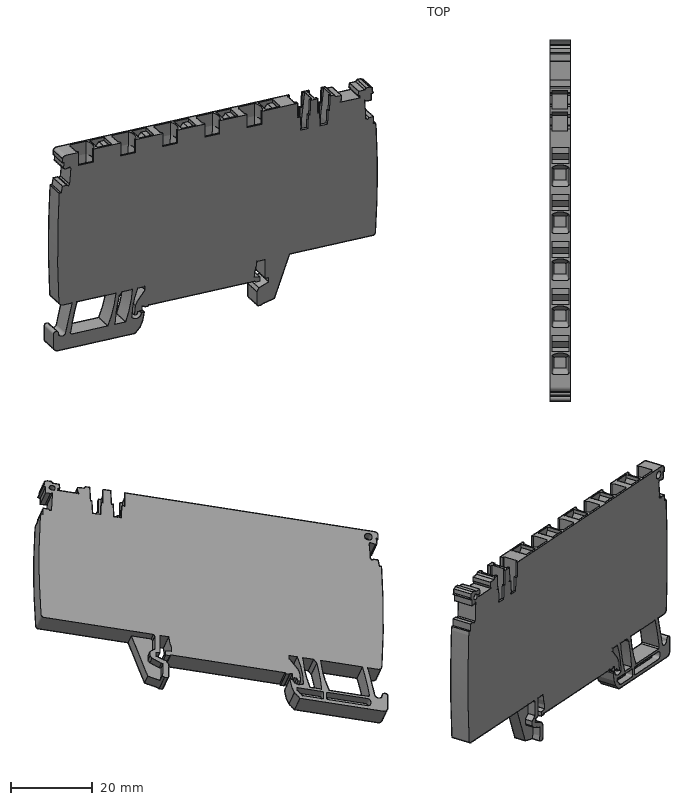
import cadquery as cq

WIDTH = 5.1
LENGTH = 88.4
HEIGHT = 53.1

LEFT_FACE = -WIDTH / 2
RIGHT_FACE = WIDTH / 2
FRONT_END = -LENGTH / 2
BACK_END = LENGTH / 2
TOP = HEIGHT / 2
BOTTOM = -HEIGHT / 2

BODY_BOTTOM = -14.3
BODY_FRONT_FOOT = -42.7
BODY_FRONT_CORNER = 1.1
BODY_BACK_FOOT = 43.65
BODY_BACK_CORNER = 0.7
RAIL_SEAT = -19.6
RAIL_LIP = -19.9
BAR_TOP = -22.8
BAR_CORNER = 1.2
GRIP_TOP = -21.1
GRIP_ROUND = 0.7

SLOT_FLOOR = 19.0
SLOT_STEP = 22.6
SLOT_DRAFT = 0.2
WIRE_SLOTS = [
    ((31.3, 27.9, 30.75, 28.4), (31.8, 27.3)),
    ((26.0, 22.4, 25.4, 23.15), (26.6, 21.9)),
]
CHAMBER_LEFT = -2.0
CHAMBER_RIGHT = 1.8
CHAMBER_TAPER = 0.9
CHAMBER_FLOOR = 16.35

TERMINAL_COUNT = 5
TERMINAL_PITCH = 11.5
FIRST_TERMINAL = 17.85
TERMINAL_LEFT = -2.0
TERMINAL_RIGHT = 2.1

POCKET_LENGTH = 3.9
POCKET_LEDGE = 1.4
POCKET_LEDGE_DEPTH = 0.9
POCKET_GROOVE_DEPTH = 2.65
POCKET_GROOVE_RUN = 1.5

FUNNEL_OFFSET = 4.2
FUNNEL_LENGTH = 5.3
FUNNEL_DEPTH = 6.2
FUNNEL_ARCH = 0.6
FUNNEL_MOUTH_DEPTH = 3.5
FUNNEL_MOUTH_CORNER = 0.6
FUNNEL_LIP = 0.35
FUNNEL_FLOOR_LEFT = -1.5
FUNNEL_FLOOR_RIGHT = 1.4
FUNNEL_FLOOR_INSET = 1.0
FUNNEL_FLOOR_LENGTH = 2.7
FUNNEL_FLOOR_ARCH = 0.1
FUNNEL_FLOOR_CORNER = 0.2

RECESS_DEPTH = 2.2
BACK_HOLE = (40.8, 24.65)
BACK_HOLE_RADIUS = 0.7
FRONT_HOLE = (-39.2, 24.7)
FRONT_HOLE_RADIUS = 1.0
BAR_RECESS_TOP = -23.5
BAR_RECESS_BOTTOM = -25.6
BAR_RECESS_CORNER = 0.4
BAR_RECESS_CHAMFER = 0.3
BAR_RECESS_ROUND_END = 0.9
LATCH_WEB_RECESS = 2.0


def slab(profile, left=LEFT_FACE, right=RIGHT_FACE):
    """Extrude a closed profile, drawn in (Y, Z), between two X positions."""
    return profile.close().extrude(right - left).translate((left, 0, 0))


def outline(points, left=LEFT_FACE, right=RIGHT_FACE):
    return slab(cq.Workplane("YZ").polyline(points), left, right)


def make_body():
    profile = (
        cq.Workplane("YZ")
        .moveTo(42.1, TOP)
        .lineTo(41.1, TOP)
        .lineTo(40.7, 26.1)
        .lineTo(39.05, 26.1)
        .lineTo(38.9, 24.9)
        .lineTo(39.4, 24.7)
        .lineTo(39.4, 24.2)
        .lineTo(34.1, 24.2)
        .lineTo(34.4, 24.9)
        .lineTo(34.4, 26.0)
        .lineTo(32.8, 26.1)
        .lineTo(32.4, TOP)
        .lineTo(-40.7, TOP)
        .threePointArc((-41.35, 26.3), (-41.7, 25.8))
        .lineTo(-41.7, 24.65)
        .lineTo(-41.3, 24.65)
        .lineTo(-41.4, 23.1)
        .lineTo(-41.0, 22.8)
        .lineTo(-39.7, 23.1)
        .lineTo(-39.4, 22.6)
        .lineTo(-39.8, 18.4)
        .lineTo(-40.1, 18.0)
        .lineTo(-40.6, 18.3)
        .lineTo(-41.7, 18.3)
        .lineTo(-42.1, 16.5)
        .lineTo(-42.6, 16.5)
        .threePointArc((-43.0, 1.3), (BODY_FRONT_FOOT, BODY_BOTTOM + BODY_FRONT_CORNER))
        .radiusArc((BODY_FRONT_FOOT + BODY_FRONT_CORNER, BODY_BOTTOM), -BODY_FRONT_CORNER)
        .lineTo(BODY_BACK_FOOT - BODY_BACK_CORNER, BODY_BOTTOM)
        .radiusArc((BODY_BACK_FOOT, BODY_BOTTOM + BODY_BACK_CORNER), -BODY_BACK_CORNER)
        .threePointArc((BACK_END, 1.3), (43.8, 15.4))
        .lineTo(43.65, 16.35)
        .lineTo(43.1, 16.35)
        .lineTo(43.1, 18.2)
        .lineTo(41.9, 18.2)
        .lineTo(41.4, 17.85)
        .lineTo(41.0, 18.1)
        .lineTo(40.7, 23.15)
        .lineTo(41.3, 22.9)
        .lineTo(42.5, 22.9)
        .lineTo(42.5, 24.6)
        .lineTo(43.1, 24.8)
        .lineTo(42.85, 25.2)
        .lineTo(42.8, 26.2)
    )
    return slab(profile)


def make_rail_seat():
    """Block resting on the rail, with a lip at the back and a hook at the front."""
    return outline([
        (11.3, BODY_BOTTOM),
        (11.05, -16.1),
        (10.6, -17.5),
        (10.6, -18.5),
        (12.1, -18.7),
        (12.1, RAIL_LIP),
        (11.05, RAIL_LIP),
        (10.8, RAIL_SEAT),
        (-18.1, RAIL_SEAT),
        (-18.4, RAIL_LIP),
        (-19.3, RAIL_LIP),
        (-19.4, RAIL_SEAT),
        (-20.0, RAIL_SEAT),
        (-20.0, -20.9),
        (-20.5, -20.7),
        (-21.1, -20.8),
        (-21.4, -21.5),
        (-22.1, -21.5),
        (-21.8, -18.9),
        (-21.3, -17.85),
        (-19.2, -15.2),
        (-19.2, BODY_BOTTOM),
    ])


def make_latch():
    """Fixed rail claw at the back: a full-width strip stiffened by a thinner web."""
    strip_inside = [
        (15.2, BODY_BOTTOM),
        (14.85, -14.85),
        (14.85, -18.55),
        (16.1, -19.6),
        (16.1, -20.85),
        (15.55, -21.5),
        (13.2, -22.5),
        (12.7, -22.5),
        (12.7, -25.0),
        (13.0, -26.2),
    ]
    strip_outside = [
        (12.4, BOTTOM),
        (11.6, BOTTOM),
        (11.3, -26.15),
        (11.3, -22.6),
        (11.8, -21.65),
        (14.5, -20.6),
        (14.5, -19.5),
        (13.5, -19.35),
        (13.5, BODY_BOTTOM),
    ]
    web_edge = [(16.1, -25.5), (20.2, BODY_BOTTOM)]
    strip = outline(strip_inside + strip_outside)
    web = outline(strip_inside + web_edge, LEFT_FACE + LATCH_WEB_RECESS)
    return strip.union(web)


def make_foot():
    """Spring foot at the front: a bar hung from three slanted arms."""
    profile = (
        cq.Workplane("YZ")
        .moveTo(-21.2, BODY_BOTTOM)
        .threePointArc((-22.35, -18.1), (-22.8, -21.9))
        .threePointArc((-21.6, -22.5), (-20.15, -21.3))
        .lineTo(-19.35, -21.2)
        .lineTo(-19.8, -23.5)
        .lineTo(-20.5, -25.1)
        .lineTo(-21.9, BOTTOM)
        .lineTo(FRONT_END + BAR_CORNER, BOTTOM)
        .radiusArc((FRONT_END, BOTTOM + BAR_CORNER), BAR_CORNER)
        .lineTo(FRONT_END, GRIP_TOP - GRIP_ROUND)
        .radiusArc((FRONT_END + 2 * GRIP_ROUND, GRIP_TOP - GRIP_ROUND), GRIP_ROUND)
        .threePointArc((-41.8, BAR_TOP), (-40.8, -21.9))
        .threePointArc((-40.0, -18.4), (-39.05, BODY_BOTTOM))
    )
    narrow_window = slab(
        cq.Workplane("YZ")
        .moveTo(-22.6, BODY_BOTTOM)
        .threePointArc((-23.15, -18.1), (-24.5, BAR_TOP))
        .lineTo(-27.4, BAR_TOP)
        .threePointArc((-26.95, -19.1), (-26.15, -15.3))
        .lineTo(-25.4, BODY_BOTTOM)
    )
    wide_window = slab(
        cq.Workplane("YZ")
        .moveTo(-27.1, BODY_BOTTOM)
        .threePointArc((-27.8, -18.4), (-29.3, BAR_TOP))
        .lineTo(-39.2, BAR_TOP)
        .lineTo(-39.5, -22.4)
        .threePointArc((-38.6, -17.85), (-37.7, BODY_BOTTOM))
    )
    return slab(profile).cut(narrow_window).cut(wide_window)


def make_wire_slot(side_opening, chamber):
    """Stepped opening through both side walls, with a wider tapered chamber between them."""
    upper_back, upper_front, lower_back, lower_front = side_opening
    back, front = chamber
    opening = outline([
        (upper_back, TOP),
        (upper_back - SLOT_DRAFT, SLOT_STEP),
        (lower_back, SLOT_STEP),
        (lower_back - SLOT_DRAFT, SLOT_FLOOR),
        (lower_front + SLOT_DRAFT, SLOT_FLOOR),
        (lower_front, SLOT_STEP),
        (upper_front, SLOT_STEP),
        (upper_front, TOP),
    ])
    wide_part = outline(
        [
            (back, TOP),
            (back - CHAMBER_TAPER, SLOT_FLOOR),
            (back - CHAMBER_TAPER, CHAMBER_FLOOR),
            (front, CHAMBER_FLOOR),
            (front, TOP),
        ],
        CHAMBER_LEFT,
        CHAMBER_RIGHT,
    )
    return opening.union(wide_part)


def make_screw_pocket(back):
    """Shallow ledge falling into a V-shaped groove."""
    front = back - POCKET_LENGTH
    ledge_end = back - POCKET_LEDGE
    ledge_level = TOP - POCKET_LEDGE_DEPTH
    return outline(
        [
            (back, TOP),
            (back, ledge_level),
            (ledge_end, ledge_level),
            (ledge_end - POCKET_GROOVE_RUN, TOP - POCKET_GROOVE_DEPTH),
            (front, ledge_level),
            (front, TOP),
        ],
        TERMINAL_LEFT,
        TERMINAL_RIGHT,
    )


def funnel_outline(level, left, right, front, shoulder, back, corner):
    """Horizontal outline with an arched back edge and rounded front corners."""
    middle = (left + right) / 2
    return (
        cq.Workplane("XY", origin=(0, 0, level))
        .moveTo(left, front + corner)
        .lineTo(left, shoulder)
        .threePointArc((middle, back), (right, shoulder))
        .lineTo(right, front + corner)
        .radiusArc((right - corner, front), corner)
        .lineTo(left + corner, front)
        .radiusArc((left, front + corner), corner)
        .close()
    )


def make_wire_funnel(back):
    """Straight mouth over a tapered throat, opened sideways through the right wall."""
    front = back - FUNNEL_LENGTH
    shoulder = back - FUNNEL_ARCH
    floor_back = back - FUNNEL_FLOOR_INSET
    floor_front = floor_back - FUNNEL_FLOOR_LENGTH
    throat_top = TOP - FUNNEL_MOUTH_DEPTH

    mouth_outline = funnel_outline(
        throat_top, TERMINAL_LEFT, TERMINAL_RIGHT, front, shoulder, back, FUNNEL_MOUTH_CORNER
    )
    floor_outline = funnel_outline(
        TOP - FUNNEL_DEPTH,
        FUNNEL_FLOOR_LEFT,
        FUNNEL_FLOOR_RIGHT,
        floor_front,
        floor_back - FUNNEL_FLOOR_ARCH,
        floor_back,
        FUNNEL_FLOOR_CORNER,
    )
    mouth = mouth_outline.extrude(FUNNEL_MOUTH_DEPTH)
    throat = cq.Solid.makeLoft([mouth_outline.val(), floor_outline.val()], True)

    opening_back = shoulder - FUNNEL_LIP
    opening_front = front + FUNNEL_LIP
    side_opening = outline(
        [
            (opening_back, TOP),
            (opening_back, throat_top),
            (opening_front, throat_top),
            (opening_front, TOP),
        ],
        left=0,
    )
    return mouth.union(cq.Workplane(throat)).union(side_opening)


def make_round_recess(centre, radius):
    face = cq.Workplane("YZ", origin=(LEFT_FACE, 0, 0))
    return face.moveTo(*centre).circle(radius).extrude(RECESS_DEPTH)


def make_bar_recesses():
    """Two blind pockets in the foot bar, separated by a narrow rib."""
    floor = LEFT_FACE + RECESS_DEPTH
    back_pocket = outline(
        [
            (-21.2, BAR_RECESS_TOP),
            (-27.9, BAR_RECESS_TOP),
            (-27.9, BAR_RECESS_BOTTOM),
            (-22.5, BAR_RECESS_BOTTOM),
            (-21.2, -24.2),
        ],
        right=floor,
    )
    front_pocket = outline(
        [
            (-28.6, BAR_RECESS_TOP),
            (-39.85, BAR_RECESS_TOP),
            (-39.85, BAR_RECESS_BOTTOM),
            (-28.6, BAR_RECESS_BOTTOM),
        ],
        right=floor,
    )
    back_pocket = back_pocket.edges(">X and <Z").chamfer(BAR_RECESS_CHAMFER)
    front_pocket = front_pocket.edges(">X and <Z").chamfer(BAR_RECESS_CHAMFER)
    back_pocket = back_pocket.edges("|X and <Y").fillet(BAR_RECESS_CORNER)
    front_pocket = front_pocket.edges("|X and >Y").fillet(BAR_RECESS_CORNER)
    front_pocket = front_pocket.edges("|X and <Y").fillet(BAR_RECESS_ROUND_END)
    return back_pocket.union(front_pocket)


result = make_body().union(make_rail_seat()).union(make_latch()).union(make_foot())
for side_opening, chamber in WIRE_SLOTS:
    result = result.cut(make_wire_slot(side_opening, chamber))
for index in range(TERMINAL_COUNT):
    terminal_back = FIRST_TERMINAL - index * TERMINAL_PITCH
    result = result.cut(make_screw_pocket(terminal_back))
    result = result.cut(make_wire_funnel(terminal_back - FUNNEL_OFFSET))

result = result.cut(make_round_recess(BACK_HOLE, BACK_HOLE_RADIUS))
result = result.cut(make_round_recess(FRONT_HOLE, FRONT_HOLE_RADIUS))
result = result.cut(make_bar_recesses())